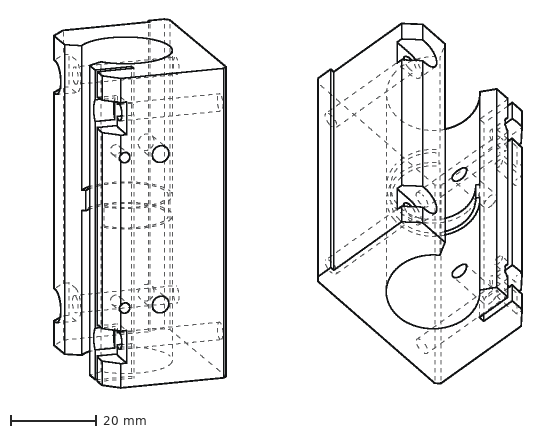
import cadquery as cq

length = 76.0
half_width = 21.5
back_y = 18.0
front_y = -12.0

lip_step = 1.1
lip_height = 5.0
rear_chamfer = 1.0
front_chamfer = 3.5
left_wall_x = lip_step - half_width

bore_radius = 11.0
band_radius = 10.0
band_length = 5.0
mouth_half_width = 9.05
mouth_flank_slope = 0.58

slot_center_x = 13.75
slot_width = 1.5
slot_depth = 9.05

mount_x = 15.95
mount_z = 28.05
mount_diameter = 4.1
counterbore_diameter = 8.0
counterbore_depth = 4.95

oil_diameter = 2.5
retainer_diameter = 4.1
retainer_y = 1.4
clamp_diameter = 2.5
clamp_y = -7.5
side_hole_z = 18.5


def make_body():
    outline = [
        (left_wall_x + front_chamfer, front_y),
        (half_width - front_chamfer, front_y),
        (half_width, front_y + front_chamfer),
        (half_width, back_y - rear_chamfer),
        (half_width - rear_chamfer, back_y),
        (rear_chamfer - half_width, back_y),
        (-half_width, back_y - rear_chamfer),
        (-half_width, back_y - lip_height),
        (left_wall_x, back_y - lip_height),
        (left_wall_x, front_y + front_chamfer),
    ]
    return cq.Workplane("XY").polyline(outline).close().extrude(length / 2, both=True)


def make_bore():
    bore = cq.Workplane("XY").circle(bore_radius).extrude(length / 2, both=True)
    band = (
        cq.Workplane("XY")
        .circle(bore_radius)
        .circle(band_radius)
        .extrude(band_length / 2, both=True)
    )
    return bore.cut(band)


def make_mouth():
    """Tapered opening from the front face up to the bore axis."""
    inner_half_width = mouth_half_width + mouth_flank_slope * front_y
    outline = [
        (-mouth_half_width, front_y),
        (mouth_half_width, front_y),
        (inner_half_width, 0),
        (-inner_half_width, 0),
    ]
    return cq.Workplane("XY").polyline(outline).close().extrude(length / 2, both=True)


def make_slot():
    return cq.Workplane("XY").box(slot_width, slot_depth, length).translate(
        (slot_center_x, front_y + slot_depth / 2, 0)
    )


def make_mount_hole(side, z):
    """Through hole and counterbore, open towards the given side (-1 or 1)."""
    hole = cq.Workplane("XZ", origin=(side * mount_x, back_y, z)).circle(mount_diameter / 2)
    counterbore = (
        cq.Workplane("XZ", origin=(side * mount_x, front_y + counterbore_depth, z))
        .circle(counterbore_diameter / 2)
        .extrude(counterbore_depth)
    )
    opening_length = half_width - mount_x
    opening = cq.Workplane("XY").box(opening_length, counterbore_depth, counterbore_diameter).translate(
        (side * (mount_x + opening_length / 2), front_y + counterbore_depth / 2, z)
    )
    return hole.extrude(back_y - front_y).union(counterbore).union(opening)


def make_side_hole(diameter, y, z, end_x):
    """Hole along X from the right face to end_x."""
    start = cq.Workplane("YZ", origin=(end_x, y, z))
    return start.circle(diameter / 2).extrude(half_width - end_x)


def make_oil_hole():
    """Round-ended passage grazing the rear of the central band."""
    tip = cq.Workplane("XY").sphere(oil_diameter / 2).translate((0, band_radius, 0))
    return make_side_hole(oil_diameter, band_radius, 0, 0).union(tip)


result = make_body().cut(make_bore()).cut(make_mouth()).cut(make_slot()).cut(make_oil_hole())
for end in (-1, 1):
    for side in (-1, 1):
        result = result.cut(make_mount_hole(side, end * mount_z))
    result = result.cut(make_side_hole(retainer_diameter, retainer_y, end * side_hole_z, 0))
    result = result.cut(make_side_hole(clamp_diameter, clamp_y, end * side_hole_z, slot_center_x))